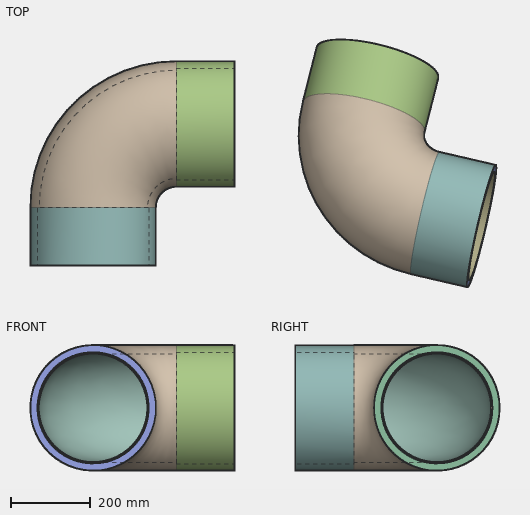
import cadquery as cq

overall_size = 514.0
outer_diameter = 316.0
socket_bore = 280.0
bend_bore = 272.5
socket_length = 146.5

outer_radius = outer_diameter / 2
bend_radius = overall_size - socket_length - outer_radius


def elbow(bend_diameter, socket_diameter):
    """Solid 90 degree elbow: an arc with a straight cylinder on each end.

    The open ends face -Y and +X; the bend is centred on the Z axis.
    """
    inlet_plane = cq.Workplane("XZ", origin=(-bend_radius, 0, 0))
    outlet_plane = cq.Workplane("YZ", origin=(0, bend_radius, 0))
    bend = inlet_plane.circle(bend_diameter / 2).revolve(
        90, (bend_radius, 0, 0), (bend_radius, -1, 0)
    )
    inlet = inlet_plane.circle(socket_diameter / 2).extrude(socket_length)
    outlet = outlet_plane.circle(socket_diameter / 2).extrude(socket_length)
    return bend.union(inlet).union(outlet)


body = elbow(outer_diameter, outer_diameter)
bore = elbow(bend_bore, socket_bore)
result = body.cut(bore)